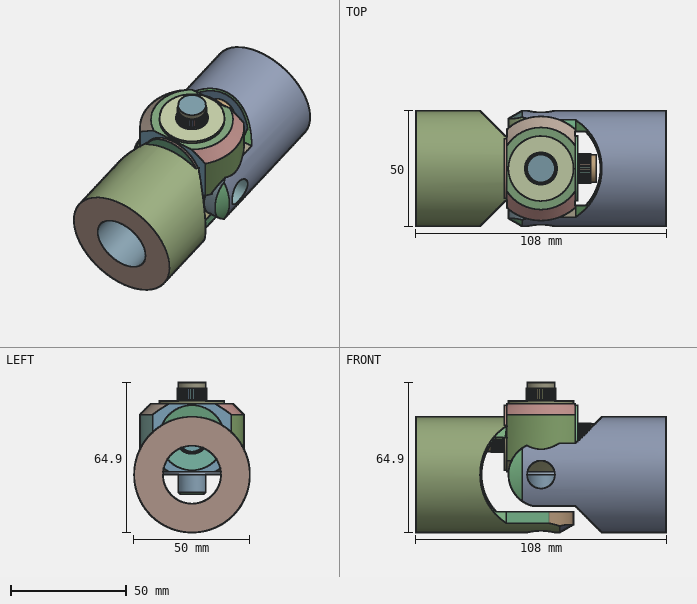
import cadquery as cq
import math


TOTAL_LENGTH = 108.0
YOKE_DIAMETER = 50.0
BORE_DIAMETER = 25.0
PIN_DIAMETER = 12.0

ARM_GAP = 31.9
ARM_HALF_WIDTH = 13.6
ARM_TIP_RADIUS = 14.0
SHOULDER_START = 14.9
GAP_DEPTH = 25.6
GAP_CORNER = 19.3
TIP_CHAMFER_HEIGHT = 3.5
TIP_CHAMFER_ANGLE = 30.0

BLOCK_DIAMETER = 44.9
BLOCK_THICKNESS = 29.5
BLOCK_CHAMFER = 4.8
BOSS_DIAMETER = 28.1
COUNTERSINK = 1.0

PIN_REACH = 23.9
LONG_PIN_LENGTH = 48.3
PIN_LEAD_CHAMFER = 1.0
KNURL_OFFSET = 2.5
KNURL_LENGTH = 5.0
KNURL_HEIGHT = 0.3
KNURL_GROOVES = 36
KNURL_GROOVE_WIDTH = 0.2

yoke_radius = YOKE_DIAMETER / 2
pin_radius = PIN_DIAMETER / 2
half_length = TOTAL_LENGTH / 2
half_gap = ARM_GAP / 2
boss_span = ARM_GAP
block_lift = half_gap


def arm_outline():
    """Yoke profile seen across its arms: round tip, parallel arm, 45 degree shoulder, full tube."""
    tip_start = -math.sqrt(ARM_TIP_RADIUS**2 - ARM_HALF_WIDTH**2)
    shoulder_end = SHOULDER_START + yoke_radius - ARM_HALF_WIDTH
    return (
        cq.Workplane("XZ")
        .moveTo(tip_start, ARM_HALF_WIDTH)
        .threePointArc((-ARM_TIP_RADIUS, 0), (tip_start, -ARM_HALF_WIDTH))
        .lineTo(SHOULDER_START, -ARM_HALF_WIDTH)
        .lineTo(shoulder_end, -yoke_radius)
        .lineTo(half_length, -yoke_radius)
        .lineTo(half_length, yoke_radius)
        .lineTo(shoulder_end, yoke_radius)
        .lineTo(SHOULDER_START, ARM_HALF_WIDTH)
        .close()
        .extrude(yoke_radius, both=True)
    )


def turned_tube():
    """Turned bar along X with the chamfer at the arm tips and the through bore."""
    chamfer_length = TIP_CHAMFER_HEIGHT / math.tan(math.radians(TIP_CHAMFER_ANGLE))
    return (
        cq.Workplane("XY")
        .moveTo(-ARM_TIP_RADIUS, BORE_DIAMETER / 2)
        .lineTo(-ARM_TIP_RADIUS, yoke_radius - TIP_CHAMFER_HEIGHT)
        .lineTo(-ARM_TIP_RADIUS + chamfer_length, yoke_radius)
        .lineTo(half_length, yoke_radius)
        .lineTo(half_length, BORE_DIAMETER / 2)
        .close()
        .revolve(360, (0, 0, 0), (1, 0, 0))
    )


def arm_gap():
    """Gap between the arms, with a rounded end."""
    return (
        cq.Workplane("XY")
        .moveTo(-ARM_TIP_RADIUS, -half_gap)
        .lineTo(GAP_CORNER, -half_gap)
        .threePointArc((GAP_DEPTH, 0), (GAP_CORNER, half_gap))
        .lineTo(-ARM_TIP_RADIUS, half_gap)
        .close()
        .extrude(yoke_radius, both=True)
    )


def make_yoke():
    """Yoke reaching toward +X, with its two arms on the -Y and +Y sides."""
    pin_hole = cq.Workplane("XZ").circle(pin_radius).extrude(yoke_radius, both=True)
    return turned_tube().intersect(arm_outline()).cut(arm_gap()).cut(pin_hole)


def make_block_blank():
    """Cross block without holes: chamfered drum with two flats and a boss on four sides."""
    drum = cq.Workplane("XY").circle(BLOCK_DIAMETER / 2).extrude(BLOCK_THICKNESS / 2, both=True)
    drum = drum.faces("<Z or >Z").edges().chamfer(BLOCK_CHAMFER)
    flats = cq.Workplane("XY").box(BLOCK_THICKNESS, BLOCK_DIAMETER, BLOCK_THICKNESS)
    blank = drum.intersect(flats)
    for plane in ("XY", "YZ"):
        bosses = cq.Workplane(plane).circle(BOSS_DIAMETER / 2).extrude(boss_span / 2, both=True)
        blank = blank.union(bosses)
    return blank.translate((0, 0, block_lift))


def countersunk_bore():
    """Pin bore along Z through the block centre, countersunk at both ends."""
    half_span = boss_span / 2
    return (
        cq.Workplane("XZ")
        .moveTo(0, -half_span)
        .lineTo(pin_radius + COUNTERSINK, -half_span)
        .lineTo(pin_radius, COUNTERSINK - half_span)
        .lineTo(pin_radius, half_span - COUNTERSINK)
        .lineTo(pin_radius + COUNTERSINK, half_span)
        .lineTo(0, half_span)
        .close()
        .revolve(360, (0, 0, 0), (0, 1, 0))
    )


def knurl():
    """Grooved ring around Z, placed for a pin whose end is at PIN_REACH."""
    knurl_radius = pin_radius + KNURL_HEIGHT
    knurl_start = PIN_REACH - KNURL_OFFSET - KNURL_LENGTH
    ring = cq.Workplane("XY").circle(knurl_radius).extrude(KNURL_LENGTH)
    grooves = (
        cq.Workplane("XY")
        .polarArray(knurl_radius, 0, 360, KNURL_GROOVES)
        .rect(2 * KNURL_HEIGHT, KNURL_GROOVE_WIDTH)
        .extrude(KNURL_LENGTH)
    )
    return ring.cut(grooves).translate((0, 0, knurl_start))


def make_pin(length):
    """Pin along Z with its knurled end at PIN_REACH above the origin."""
    shank = cq.Workplane("XY").workplane(offset=PIN_REACH - length).circle(pin_radius).extrude(length)
    return shank.union(knurl())


long_pin = make_pin(LONG_PIN_LENGTH).faces("<Z").chamfer(PIN_LEAD_CHAMFER)
long_pin = long_pin.translate((0, 0, block_lift))

short_pins = []
for tilt in (-90, 90):
    short_pin = make_pin(PIN_REACH - pin_radius).rotate((0, 0, 0), (0, 1, 0), tilt)
    short_pins.append(short_pin.translate((0, 0, block_lift)))

block_blank = make_block_blank()

right_yoke = make_yoke().cut(block_blank)

left_yoke = make_yoke().rotate((0, 0, 0), (1, 0, 0), 90).rotate((0, 0, 0), (0, 0, 1), 180)
for short_pin in short_pins:
    left_yoke = left_yoke.cut(short_pin)

upright_bore = countersunk_bore().translate((0, 0, block_lift))
level_bore = countersunk_bore().rotate((0, 0, 0), (0, 1, 0), 90).translate((0, 0, block_lift))
cross_block = block_blank.cut(upright_bore).cut(level_bore)
cross_block = cross_block.cut(left_yoke)

bodies = [left_yoke, right_yoke, cross_block, long_pin, *short_pins]
result = cq.Compound.makeCompound([body.solids().val() for body in bodies])